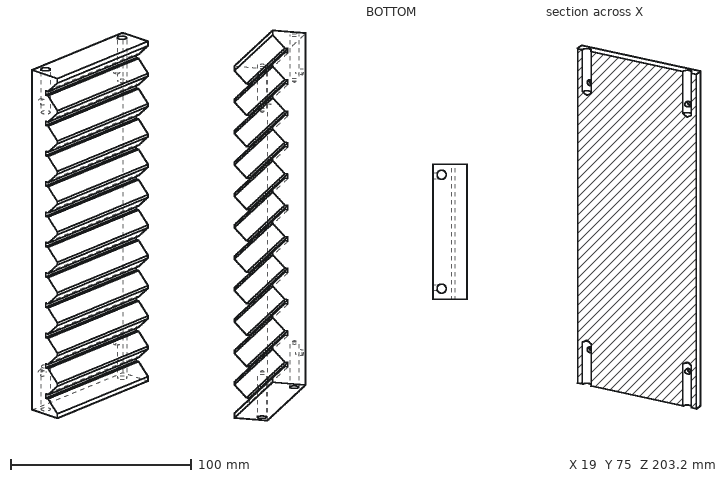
import cadquery as cq
import math

thickness = 19.0
width = 75.0
height = 203.2

groove_count = 11
end_groove_inset = 11.0
groove_pitch = (height - 2 * end_groove_inset) / (groove_count - 1)
tooth_tip = 1.6
groove_flank_angle = 45.0
relief_width = 2.5
relief_floor = 10.4

bore_diameter = 5.0
bore_x = 4.9
bore_inset_y = 5.9
drill_point_angle = 118.0

cross_hole_diameter = 3.3
cross_hole_inset_y = 6.5
cross_hole_inset_z = 20.5
cross_hole_depth = bore_x

bore_depth = cross_hole_inset_z + bore_diameter


def groove_cutter(center_z):
    """V-groove and relief slot running along Y, centred at the given height."""
    mouth_half = (groove_pitch - tooth_tip) / 2
    relief_half = relief_width / 2
    flank_depth = (mouth_half - relief_half) / math.tan(math.radians(groove_flank_angle))
    flank_root = thickness - flank_depth
    return (
        cq.Workplane("XZ", origin=(0, 0, center_z))
        .moveTo(thickness, mouth_half)
        .lineTo(flank_root, relief_half)
        .lineTo(relief_floor, relief_half)
        .lineTo(relief_floor, -relief_half)
        .lineTo(flank_root, -relief_half)
        .lineTo(thickness, -mouth_half)
        .close()
        .extrude(width / 2, both=True)
    )


def end_bore(side, end):
    """Drilled bore entering the top (end = 1) or bottom (end = -1) face."""
    radius = bore_diameter / 2
    point_length = radius / math.tan(math.radians(drill_point_angle / 2))
    mouth = cq.Vector(bore_x, side * (width / 2 - bore_inset_y), end * height / 2)
    inward = cq.Vector(0, 0, -end)
    shank = cq.Solid.makeCylinder(radius, bore_depth, mouth, inward)
    point = cq.Solid.makeCone(radius, 0, point_length, mouth + inward * bore_depth, inward)
    return shank.fuse(point)


def cross_hole(side, end):
    """Small hole from the back face that reaches the axis plane of a bore."""
    mouth = cq.Vector(
        0,
        side * (width / 2 - cross_hole_inset_y),
        end * (height / 2 - cross_hole_inset_z),
    )
    return cq.Solid.makeCylinder(cross_hole_diameter / 2, cross_hole_depth, mouth, cq.Vector(1, 0, 0))


result = cq.Workplane("XY").box(thickness, width, height, centered=(False, True, True))

for index in range(groove_count):
    groove_z = (index - (groove_count - 1) / 2) * groove_pitch
    result = result.cut(groove_cutter(groove_z))

for side in (-1, 1):
    for end in (-1, 1):
        result = result.cut(end_bore(side, end))
        result = result.cut(cross_hole(side, end))